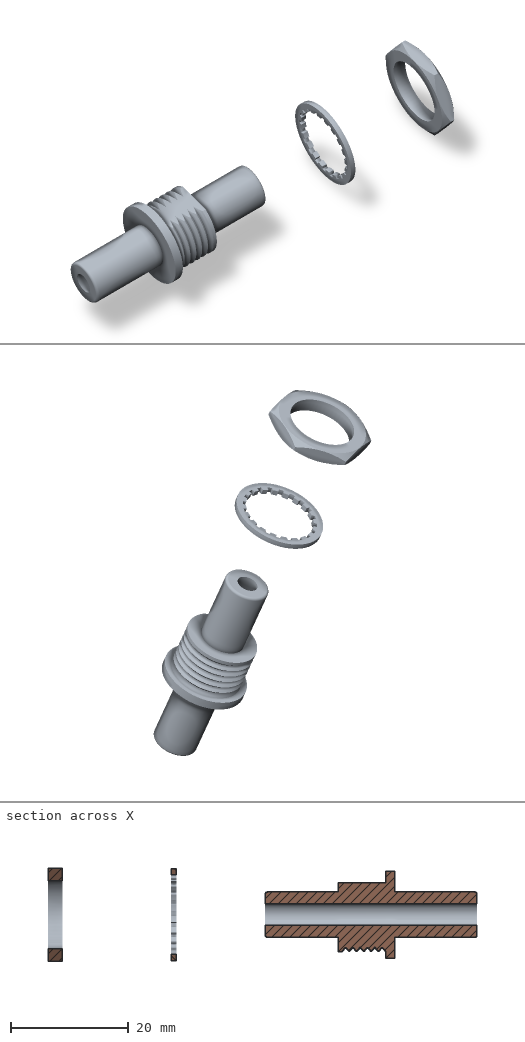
import cadquery as cq
import math


TUBE_LENGTH = 36.0
TUBE_DIAMETER = 7.8
TUBE_RADIUS = TUBE_DIAMETER / 2
TUBE_BORE_DIAMETER = 3.6
TUBE_BORE_RADIUS = TUBE_BORE_DIAMETER / 2
TUBE_END_ROUND = 0.45
FLANGE_START = 14.0
FLANGE_THICKNESS = 1.5
FLANGE_RADIUS = 7.4
THREAD_DIAMETER = 12.6
THREAD_RADIUS = THREAD_DIAMETER / 2
THREAD_ROOT_RADIUS = 5.6
THREAD_PITCH = 1.25
THREAD_GROOVES = 6
COLLAR_RIM = 0.65
COLLAR_FLAT_HEIGHT = 5.5
COLLAR_START = FLANGE_START + FLANGE_THICKNESS
COLLAR_LENGTH = THREAD_GROOVES * THREAD_PITCH + COLLAR_RIM

WASHER_START = 51.0
WASHER_THICKNESS = 0.95
WASHER_DIAMETER = 15.7
WASHER_RADIUS = WASHER_DIAMETER / 2
TOOTH_TIP_RADIUS = 6.1
TOOTH_ROOT_RADIUS = 6.7
TOOTH_COUNT = 20
TOOTH_PITCH_ANGLE = 360 / TOOTH_COUNT
TOOTH_GAP_WIDTH = 0.9
FIRST_GAP_ANGLE = 164

NUT_END = 72.85
NUT_THICKNESS = 2.5
NUT_ACROSS_FLATS = 15.9
NUT_BORE_RADIUS = 5.75
NUT_CHAMFER_HEIGHT = 0.9
NUT_FACE_RADIUS = 7.9
NUT_CORNER_RADIUS = NUT_ACROSS_FLATS / math.sqrt(3)


def cylinder(radius, start, length):
    """Solid cylinder along +Y that begins at the given Y."""
    return cq.Workplane("XZ", origin=(0, start, 0)).circle(radius).extrude(-length)


def revolve_about_axis(profile):
    """Turn a closed profile of (radius, Y) points about the Y axis."""
    return cq.Workplane("XY").polyline(profile).close().revolve(360, (0, 0, 0), (0, 1, 0))


def thread_groove(index):
    """V-shaped ring that cuts one groove, counted from the flange."""
    start = COLLAR_START + index * THREAD_PITCH
    return revolve_about_axis([
        (THREAD_RADIUS, start),
        (THREAD_ROOT_RADIUS, start + THREAD_PITCH / 2),
        (THREAD_RADIUS, start + THREAD_PITCH),
    ])


def make_collar():
    """Threaded collar with a flat along its +Z side."""
    collar = cylinder(THREAD_RADIUS, COLLAR_START, COLLAR_LENGTH)
    for index in range(THREAD_GROOVES):
        collar = collar.cut(thread_groove(index))
    above_flat = cq.Workplane("XY").box(
        2 * THREAD_RADIUS, COLLAR_LENGTH, THREAD_RADIUS, centered=(True, False, False)
    ).translate((0, COLLAR_START, COLLAR_FLAT_HEIGHT))
    return collar.cut(above_flat)


def make_fitting():
    """Bored tube with rounded ends, a flange and a threaded collar."""
    tube = cylinder(TUBE_RADIUS, 0, TUBE_LENGTH).faces("<Y or >Y").edges().fillet(TUBE_END_ROUND)
    flange = cylinder(FLANGE_RADIUS, FLANGE_START, FLANGE_THICKNESS)
    bore = cylinder(TUBE_BORE_RADIUS, 0, TUBE_LENGTH)
    return tube.union(flange).union(make_collar()).cut(bore)


def make_washer():
    """Flat ring with square teeth around its inner edge."""
    ring = cylinder(WASHER_RADIUS, WASHER_START, WASHER_THICKNESS)
    ring = ring.cut(cylinder(TOOTH_TIP_RADIUS, WASHER_START, WASHER_THICKNESS))
    gap = cq.Workplane("XY").box(
        TOOTH_ROOT_RADIUS, WASHER_THICKNESS, TOOTH_GAP_WIDTH, centered=(False, False, True)
    ).translate((0, WASHER_START, 0))
    for index in range(TOOTH_COUNT):
        angle = FIRST_GAP_ANGLE + index * TOOTH_PITCH_ANGLE
        ring = ring.cut(gap.rotate((0, 0, 0), (0, 1, 0), -angle))
    return ring


def make_nut():
    """Hexagonal nut, chamfered on both end faces, with two corners on the X axis."""
    start = NUT_END - NUT_THICKNESS
    face = cq.Workplane("XZ", origin=(0, start, 0))
    hexagon = face.polygon(6, 2 * NUT_CORNER_RADIUS).extrude(-NUT_THICKNESS)
    chamfered_disc = revolve_about_axis([
        (0, start),
        (NUT_FACE_RADIUS, start),
        (NUT_CORNER_RADIUS, start + NUT_CHAMFER_HEIGHT),
        (NUT_CORNER_RADIUS, NUT_END - NUT_CHAMFER_HEIGHT),
        (NUT_FACE_RADIUS, NUT_END),
        (0, NUT_END),
    ])
    return hexagon.intersect(chamfered_disc).cut(cylinder(NUT_BORE_RADIUS, start, NUT_THICKNESS))


fitting = make_fitting()
washer = make_washer()
nut = make_nut()

result = cq.Compound.makeCompound([
    fitting.solids().val(),
    washer.solids().val(),
    nut.solids().val(),
])